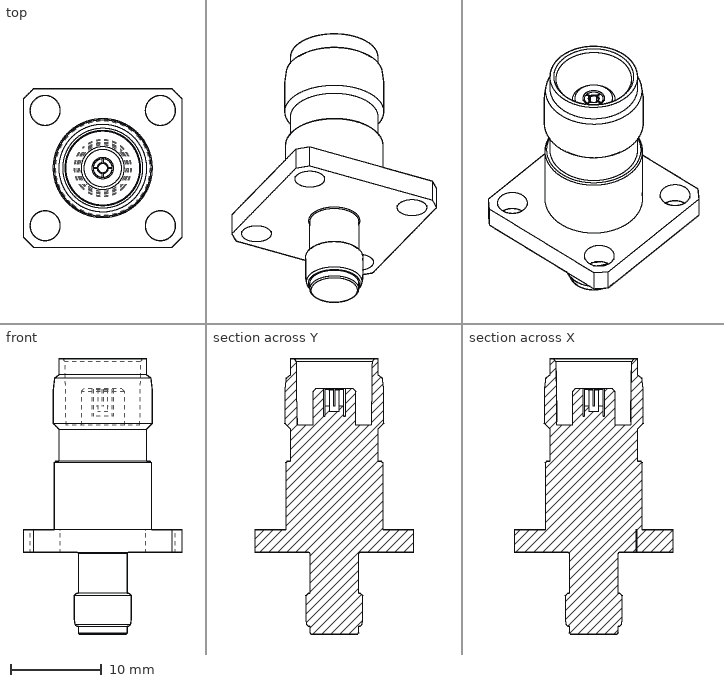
import cadquery as cq

height = 30.4

flange_side = 17.5
flange_bottom = 9.05
flange_thickness = 2.5
flange_top = flange_bottom + flange_thickness
flange_corner_cut = 1.12
mount_hole_spacing = 12.7
mount_hole_diameter = 3.28

neck_radius = 2.7
neck_root_flare = 0.12
neck_tip_chamfer = 0.15
ring_radius = 3.15
ring_top = 4.55
ring_top_bevel_height = 0.25
ring_top_radius = 2.85
ring_taper_start = 1.67
ring_taper_end = 1.1
ring_taper_end_radius = 3.07
ring_bottom = 0.88
ring_bottom_chamfer = ring_taper_end - ring_bottom

body_radius = 5.38
body_top = 19.12
body_chamfer = 0.18
barrel_radius = 4.83
collar_radius = 5.47
collar_bottom = 22.62
collar_bottom_chamfer = collar_radius - barrel_radius
collar_taper_start = 27.0
collar_taper_end = 28.27
collar_taper_end_radius = 5.32
collar_top = 28.65

mouth_radius = 4.4
bevel_radius = 4.15
bevel_depth = 0.33
floor_radius = 4.07
socket_depth = 7.3

post_radius = 2.37
post_chamfer = 0.3
post_top = height - 3.28

recess_radius = 1.2
recess_depth = 3.05
contact_radius = 1.03
contact_drop = 0.1
contact_top = post_top - contact_drop
contact_hole_radius = 0.52
contact_hole_chamfer = 0.1
contact_hole_depth = 2.43
slot_width = 0.12
slot_depth = 1.82


def turned(profile):
    """Revolve a closed (radius, z) profile about the Z axis."""
    return cq.Workplane("XZ").polyline(profile).close().revolve(360, (0, 0, 0), (0, 1, 0))


def cylinder(radius, bottom, top):
    return cq.Workplane("XY").workplane(offset=bottom).circle(radius).extrude(top - bottom)


def make_flange():
    plate = cq.Workplane("XY").workplane(offset=flange_bottom).rect(flange_side, flange_side)
    plate = plate.extrude(flange_thickness).edges("|Z").chamfer(flange_corner_cut)
    holes = plate.faces(">Z").workplane().rect(mount_hole_spacing, mount_hole_spacing, forConstruction=True)
    return holes.vertices().hole(mount_hole_diameter)


def make_lower_connector():
    return turned([
        (0, 0),
        (neck_radius - neck_tip_chamfer, 0),
        (neck_radius, neck_tip_chamfer),
        (neck_radius, ring_bottom),
        (ring_taper_end_radius - ring_bottom_chamfer, ring_bottom),
        (ring_taper_end_radius, ring_taper_end),
        (ring_radius, ring_taper_start),
        (ring_radius, ring_top - ring_top_bevel_height),
        (ring_top_radius, ring_top),
        (neck_radius, ring_top),
        (neck_radius, flange_bottom - neck_root_flare),
        (neck_radius + neck_root_flare, flange_bottom),
        (0, flange_bottom),
    ])


def make_upper_connector():
    return turned([
        (0, flange_top),
        (body_radius, flange_top),
        (body_radius, body_top - body_chamfer),
        (body_radius - body_chamfer, body_top),
        (barrel_radius, body_top),
        (barrel_radius, collar_bottom),
        (collar_radius, collar_bottom + collar_bottom_chamfer),
        (collar_radius, collar_taper_start),
        (collar_taper_end_radius, collar_taper_end),
        (barrel_radius, collar_top),
        (barrel_radius, height),
        (0, height),
    ])


def make_socket():
    return turned([
        (0, height - socket_depth),
        (floor_radius, height - socket_depth),
        (bevel_radius, height - bevel_depth),
        (mouth_radius, height),
        (0, height),
    ])


def make_post():
    post = cylinder(post_radius, height - socket_depth, post_top).faces(">Z").chamfer(post_chamfer)
    return post.cut(cylinder(recess_radius, post_top - recess_depth, post_top))


def make_contact():
    contact = cylinder(contact_radius, post_top - recess_depth, contact_top)
    contact = contact.cut(turned([
        (0, contact_top - contact_hole_depth),
        (contact_hole_radius, contact_top - contact_hole_depth),
        (contact_hole_radius, contact_top - contact_hole_chamfer),
        (contact_hole_radius + contact_hole_chamfer, contact_top),
        (0, contact_top),
    ]))
    slot_plane = cq.Workplane("XY").workplane(offset=contact_top)
    for angle in (0, 90):
        slot = slot_plane.transformed(rotate=(0, 0, angle)).rect(2 * contact_radius, slot_width)
        contact = contact.cut(slot.extrude(-slot_depth))
    return contact


result = make_flange().union(make_lower_connector()).union(make_upper_connector())
result = result.cut(make_socket()).union(make_post()).union(make_contact())